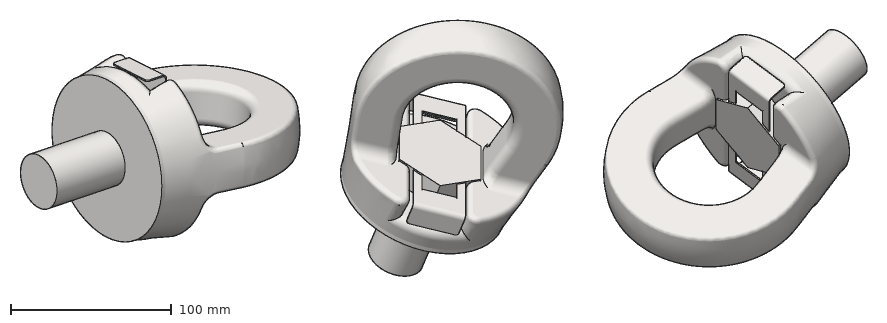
import cadquery as cq
import math


overall_length = 191.0

ring_top = 136.2
ball_radius = 65.7
ball_centre = ring_top - ball_radius
base_radius = 108.0 / 2
base_height = 3.0
hub_height = 34.0
plate_half = 30.8 / 2
plate_hub_radius = 8.0
outer_edge_radius = 3.0

eye_radius = 34.8
eye_edge_radius = 6.3

slot_width = 38.0
slot_floor = 18.3
slot_edge_radius = 6.0

head_width = 53.5
head_bottom = slot_floor
head_protrusion = 1.1
head_top = hub_height + head_protrusion
shank_diameter = 36.0
bolt_end = ring_top - overall_length

clip_width = 34.2
clip_span = 107.7
clip_thickness = 1.0
clip_bend_radius = 3.0
clip_corner_radius = 2.3
clip_window_width = 23.0
clip_window_length = 73.7

beyond = 152.8
margin = 0.2

base_to_ball = ball_centre - base_height
flank_angle = (
    math.asin(ball_radius / math.hypot(base_radius, base_to_ball))
    - math.atan2(base_radius, base_to_ball)
)


def flank_contact(radius):
    """Point where a line leaning by the flank angle touches a circle about the ball centre."""
    return radius * math.cos(flank_angle), ball_centre - radius * math.sin(flank_angle)


def edges_in(half_width, y_range, z_range):
    """Selector for edges centred in a box, on either side of the plane Z = 0."""
    (y_low, y_high), (z_low, z_high) = y_range, z_range
    front = cq.selectors.BoxSelector((-half_width, y_low, z_low), (half_width, y_high, z_high))
    back = cq.selectors.BoxSelector((-half_width, y_low, -z_high), (half_width, y_high, -z_low))
    return front + back


def cylinder_y(diameter, y_low, y_high):
    return cq.Workplane("XZ", origin=(0, y_low, 0)).circle(diameter / 2).extrude(y_low - y_high)


def hexagon_y(y_low, y_high):
    """Hexagon bar of the bolt head, with two corners on the Z axis."""
    corner_diameter = head_width / math.cos(math.pi / 6)
    return (
        cq.Workplane("XZ", origin=(0, y_low, 0))
        .transformed(rotate=(0, 0, 90))
        .polygon(6, corner_diameter)
        .extrude(y_low - y_high)
    )



def envelope():
    """Base cylinder, cone and ball as one solid of revolution about Y."""
    diagonal = ball_radius * math.sqrt(0.5)
    return (
        cq.Workplane("XY")
        .lineTo(base_radius, 0)
        .lineTo(base_radius, base_height)
        .lineTo(*flank_contact(ball_radius))
        .threePointArc((diagonal, ball_centre + diagonal), (0, ring_top))
        .close()
        .revolve(360, (0, 0), (0, 1))
    )


def eye_opening():
    """Round top with straight flanks that narrow down to Y = 0."""
    contact_x, contact_y = flank_contact(eye_radius)
    bottom_x = contact_x - contact_y * math.tan(flank_angle)
    return (
        cq.Workplane("XY")
        .moveTo(-bottom_x, 0)
        .lineTo(bottom_x, 0)
        .lineTo(contact_x, contact_y)
        .threePointArc((0, ball_centre + eye_radius), (-contact_x, contact_y))
        .close()
        .extrude(beyond, both=True)
    )


def plate_on_hub():
    """Thin plate flaring into the thick hub, both running straight through along X."""
    flare_end = plate_half + plate_hub_radius
    flare_top = hub_height + plate_hub_radius
    return (
        cq.Workplane("YZ")
        .moveTo(0, -beyond)
        .lineTo(hub_height, -beyond)
        .lineTo(hub_height, -flare_end)
        .radiusArc((flare_top, -plate_half), plate_hub_radius)
        .lineTo(beyond, -plate_half)
        .lineTo(beyond, plate_half)
        .lineTo(flare_top, plate_half)
        .radiusArc((hub_height, flare_end), plate_hub_radius)
        .lineTo(hub_height, beyond)
        .lineTo(0, beyond)
        .close()
        .extrude(beyond, both=True)
    )


def plate_with_eye():
    """The eye is cut right down so that its edge fillets run out smoothly over the flare.

    The hub block then fills the opening again below the hub top.
    """
    eye_edges = edges_in(eye_radius, (margin, beyond - margin), (plate_half - margin, beyond - margin))
    plate = plate_on_hub().cut(eye_opening()).edges(eye_edges).fillet(eye_edge_radius)
    hub = cq.Workplane("XY").box(2 * beyond, hub_height, 2 * beyond, centered=(True, False, True))
    return plate.union(hub)


def hub_slot():
    return (
        cq.Workplane("XY")
        .box(slot_width, hub_height - slot_floor, 2 * beyond, centered=(True, False, True))
        .translate((0, slot_floor, 0))
    )


def slot_mouth_waste():
    """Material that rounds off the slot mouth on the +Z side.

    One half is rounded and mirrored, so that both of its corners are mitred alike.
    """
    mouth_edges = edges_in(
        slot_width / 2 + margin,
        (slot_floor - margin, hub_height - margin),
        (base_radius - slot_edge_radius, ball_radius),
    )
    quadrant = cq.Workplane("XY").box(beyond, hub_height, beyond, centered=False)
    sharp = envelope().intersect(quadrant).cut(hub_slot())
    waste = sharp.cut(sharp.edges(mouth_edges).fillet(slot_edge_radius))
    return waste.union(waste.mirror("YZ"))


def make_ring():
    ring = envelope().intersect(plate_with_eye())

    waste = slot_mouth_waste()
    ring = ring.cut(hub_slot()).cut(waste).cut(waste.mirror("XY"))

    rim_edges = edges_in(ball_radius, (hub_height - margin, ring_top), (plate_half - margin, ball_radius))
    ring = ring.faces("%CONE or %SPHERE").edges(rim_edges).fillet(outer_edge_radius)

    ring = ring.cut(hexagon_y(head_bottom, head_top))
    return ring.cut(cylinder_y(shank_diameter, 0, head_bottom))



def clip_block(inset):
    """Solid block with rounded upper edges, lying the given inset inside the clip's outer skin."""
    return (
        cq.Workplane("XY")
        .box(clip_width, hub_height - slot_floor - inset, clip_span - 2 * inset, centered=(True, False, True))
        .translate((0, slot_floor, 0))
        .edges("|X and >Y")
        .fillet(clip_bend_radius - inset)
    )


def make_clip():
    """Strip across the hub top, windowed in the middle and bent down into a tab in each pocket."""
    window = cq.Workplane("XY").box(clip_window_width, 2 * beyond, clip_window_length)
    clip = clip_block(0).cut(clip_block(clip_thickness)).cut(window)
    return clip.edges("|Z and <Y").fillet(clip_corner_radius)



def make_bolt(clip):
    """Head and shank, with slits through the head that the clip's two rails fill."""
    bolt = hexagon_y(head_bottom, head_top).union(cylinder_y(shank_diameter, bolt_end, head_bottom))
    return bolt.cut(clip)


ring = make_ring()
clip = make_clip()
bolt = make_bolt(clip)

result = cq.Compound.makeCompound([body.solids().val() for body in (ring, bolt, clip)])